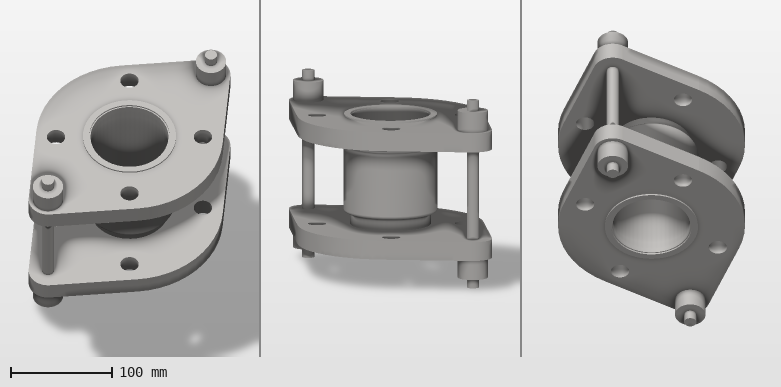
import cadquery as cq
import math

flange_length = 266.0
flange_width = 184.5
plate_thickness = 19.0
plate_gap = 90.2
ear_radius = 19.2

bolt_circle_diameter = 145.0
bolt_hole_diameter = 18.0
bolt_hole_count = 4
first_bolt_angle = 45

rod_diameter = 12.0
rod_length = 188.0
collar_diameter = 30.0
collar_height = 20.0

neck_diameter = 79.8
body_diameter = 92.8
body_length = 66.0
neck_fillet = 2.5
body_fillet = 3.2
bore_diameter = 77.0

raised_face_diameter = 92.0
raised_face_height = 1.5
recess_diameter = 79.3

flange_radius = flange_width / 2
ear_offset = flange_length / 2 - ear_radius
plate_inner_z = plate_gap / 2
plate_outer_z = plate_inner_z + plate_thickness
raised_face_z = plate_outer_z + raised_face_height


def cylinder(diameter, bottom_z, top_z):
    """Upright cylinder on the Z axis between two heights."""
    return cq.Workplane("XY").workplane(offset=bottom_z).circle(diameter / 2).extrude(top_z - bottom_z)


def upper_flange():
    """Rounded plate with two ears, sides tangent to the centre and ear arcs, and a raised face."""
    tangent_sin = (flange_radius - ear_radius) / ear_offset
    tangent_cos = math.sqrt(1 - tangent_sin**2)
    side_x = flange_radius * tangent_cos
    side_y = flange_radius * tangent_sin
    ear_x = ear_radius * tangent_cos
    ear_y = ear_offset + ear_radius * tangent_sin
    ear_tip_y = flange_length / 2

    plate = (
        cq.Workplane("XY")
        .workplane(offset=plate_inner_z)
        .moveTo(side_x, -side_y)
        .threePointArc((flange_radius, 0), (side_x, side_y))
        .lineTo(ear_x, ear_y)
        .threePointArc((0, ear_tip_y), (-ear_x, ear_y))
        .lineTo(-side_x, side_y)
        .threePointArc((-flange_radius, 0), (-side_x, -side_y))
        .lineTo(-ear_x, -ear_y)
        .threePointArc((0, -ear_tip_y), (ear_x, -ear_y))
        .close()
        .extrude(plate_thickness)
    )
    bolt_holes = (
        cq.Workplane("XY")
        .workplane(offset=plate_inner_z)
        .polarArray(bolt_circle_diameter / 2, first_bolt_angle, 360, bolt_hole_count)
        .circle(bolt_hole_diameter / 2)
        .extrude(plate_thickness)
    )
    raised_face = cylinder(raised_face_diameter, plate_outer_z, raised_face_z)
    return plate.cut(bolt_holes).union(raised_face)


def sleeve():
    """Neck (bored later) with a wider body whose ends are rounded and blend into the neck."""
    body_half = body_length / 2
    neck = cylinder(neck_diameter, -plate_outer_z, plate_outer_z)
    body = cylinder(body_diameter, -body_half, body_half).faces("<Z or >Z").edges().fillet(body_fillet)
    neck_joints = cq.selectors.RadiusNthSelector(0)
    joined = neck.union(body)
    return joined.faces("|Z").faces("not(<Z or >Z)").edges(neck_joints).fillet(neck_fillet)


def tie_rod(y):
    """Full-height rod with a collar on the outer side of each flange."""
    rod = cylinder(rod_diameter, -rod_length / 2, rod_length / 2)
    upper_collar = cylinder(collar_diameter, plate_outer_z, plate_outer_z + collar_height)
    collars = upper_collar.union(upper_collar.mirror("XY"))
    return rod.union(collars).translate((0, y, 0))


flange = upper_flange()
result = sleeve().union(flange).union(flange.mirror("XY"))

for rod_y in (-ear_offset, ear_offset):
    result = result.union(tie_rod(rod_y))

recess = cylinder(recess_diameter, plate_outer_z, raised_face_z)
result = result.cut(cylinder(bore_diameter, -raised_face_z, raised_face_z))
result = result.cut(recess).cut(recess.mirror("XY"))